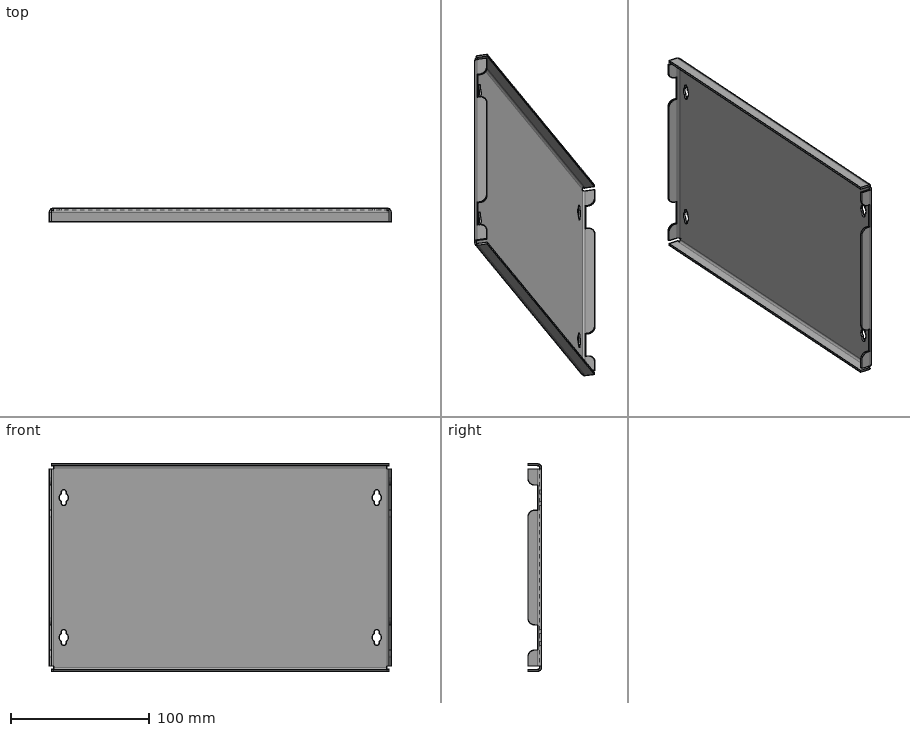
import cadquery as cq
import math

LENGTH_X = 247.0
DEPTH_Y = 10.0
HEIGHT_Z = 150.0

SHEET = 1.5
INNER_BEND = 1.5
OUTER_BEND = INNER_BEND + SHEET

SIDE_FLANGE_SETBACK = 3.75
LONG_FLANGE_SETBACK = SHEET
LONG_BEND_SETBACK = 3.25
RELIEF_START_ANGLE = 30.0

HOLE_EDGE_X = 10.5
HOLE_EDGE_Z = 24.5
HOLE_DIAMETER = 6.5
SLOT_WIDTH = 3.5
SLOT_LENGTH = 11.25

GAP_WIDTH = 18.0
TAB_CORNER_RADIUS = 5.0

SIDES = (-1, 1)
HALF_X = LENGTH_X / 2
HALF_Z = HEIGHT_Z / 2
FRONT_Y = -DEPTH_Y
HOLE_X = HALF_X - HOLE_EDGE_X
HOLE_Z = HALF_Z - HOLE_EDGE_Z


def box_between(x_range, y_range, z_range):
    """Box spanning the given (low, high) pairs."""
    size = [high - low for low, high in (x_range, y_range, z_range)]
    corner = (x_range[0], y_range[0], z_range[0])
    return cq.Workplane("XY").box(*size, centered=False).translate(corner)


def centred_box(width, y_range, height):
    """Box centred in X and Z."""
    return box_between((-width / 2, width / 2), y_range, (-height / 2, height / 2))


def channel(width, length):
    """U channel along Z with rounded bends: back face on Y = 0, legs at the X ends toward -Y."""

    def rounded_block(block_width, back_y, radius):
        half = block_width / 2
        return (
            cq.Workplane("XY")
            .moveTo(-half, FRONT_Y)
            .lineTo(-half, back_y - radius)
            .radiusArc((-half + radius, back_y), radius)
            .lineTo(half - radius, back_y)
            .radiusArc((half, back_y - radius), radius)
            .lineTo(half, FRONT_Y)
            .close()
            .extrude(length / 2, both=True)
        )

    outer = rounded_block(width, 0, OUTER_BEND)
    inner = rounded_block(width - 2 * SHEET, -SHEET, INNER_BEND)
    return outer.cut(inner)


def side_channel():
    """Back sheet with the two short flanges at the X ends."""
    return channel(LENGTH_X, HEIGHT_Z - 2 * SIDE_FLANGE_SETBACK)


def bend_relief(side_x, side_z):
    """Clears the end of a long bend; its edge is normal to the sheet, so radial to the bend axis."""
    axis_y = -OUTER_BEND
    axis_z = HALF_Z - OUTER_BEND
    angle = math.radians(RELIEF_START_ANGLE)
    reach = 2 * OUTER_BEND
    edge_point = (axis_y + reach * math.sin(angle), axis_z + reach * math.cos(angle))
    sector = (
        cq.Workplane("YZ")
        .polyline([(axis_y, axis_z), edge_point, (axis_y + reach, axis_z)])
        .close()
        .extrude(LONG_BEND_SETBACK)
        .translate((-HALF_X, 0, 0))
    )
    if side_x > 0:
        sector = sector.mirror("YZ")
    if side_z < 0:
        sector = sector.mirror("XY")
    return sector


def long_channel():
    """Back sheet with the two long flanges at the Z ends and relieved bend ends."""
    flat_height = HEIGHT_Z - 2 * OUTER_BEND
    body = channel(HEIGHT_Z, LENGTH_X - 2 * LONG_FLANGE_SETBACK).rotate((0, 0, 0), (0, 1, 0), 90)
    body = body.cut(centred_box(LENGTH_X, (-SHEET, 0), flat_height))
    back_sheet = centred_box(LENGTH_X - 2 * LONG_BEND_SETBACK, (-SHEET, 0), flat_height)
    for side_x in SIDES:
        for side_z in SIDES:
            body = body.cut(bend_relief(side_x, side_z))
    return body.union(back_sheet)


def flange_gap(side_x, side_z):
    """Opening in a side flange; the tab corners beside it are rounded at the free edge."""
    radius = TAB_CORNER_RADIUS
    half = GAP_WIDTH / 2
    low_z = side_z * HOLE_Z - half
    high_z = side_z * HOLE_Z + half
    bend_y = -OUTER_BEND
    return (
        cq.Workplane("YZ", origin=(side_x * HALF_X, 0, 0))
        .moveTo(bend_y, low_z)
        .lineTo(FRONT_Y + radius, low_z)
        .radiusArc((FRONT_Y, low_z - radius), -radius)
        .lineTo(FRONT_Y, high_z + radius)
        .radiusArc((FRONT_Y + radius, high_z), -radius)
        .lineTo(bend_y, high_z)
        .close()
        .extrude(SHEET, both=True)
    )


def keyhole(x, z):
    """Round hole with a narrower rounded slot above and below it."""
    start = cq.Workplane("XZ", origin=(x, 0, z))
    slot = start.slot2D(SLOT_LENGTH, SLOT_WIDTH, 90).extrude(SHEET)
    return start.circle(HOLE_DIAMETER / 2).extrude(SHEET).union(slot)


result = side_channel().union(long_channel())
for end_x in SIDES:
    for end_z in SIDES:
        result = result.cut(flange_gap(end_x, end_z))
        result = result.cut(keyhole(end_x * HOLE_X, end_z * HOLE_Z))